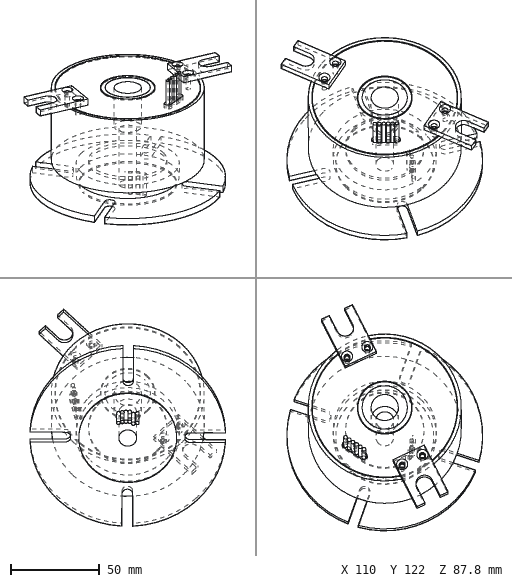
import cadquery as cq
import math

lower_wire_length = 13.2
pad_height = 0.9
flange_thickness = 4.0
collar_height = 8.4
neck_height = 1.8
body_height = 45.1
upper_wire_length = 14.4
bracket_thickness = 3.8

pad_bottom = lower_wire_length
flange_bottom = pad_bottom + pad_height
collar_bottom = flange_bottom + flange_thickness
neck_bottom = collar_bottom + collar_height
body_bottom = neck_bottom + neck_height
body_top = body_bottom + body_height
bracket_top = body_top + bracket_thickness
wire_top = body_top + upper_wire_length

pad_diameter = 55.0
flange_diameter = 110.0
collar_diameter = 58.0
neck_diameter = 44.0
body_diameter = 86.0

bore_diameter = 15.2
bore_depth = 24.4
through_diameter = 10.0
drill_angle = 118.0

joint_width = 0.2
joint_depth = 0.6
cover_diameter = 82.0
sleeve_diameter = 30.7
sleeve_recess_diameter = 25.4
sleeve_recess_depth = 0.1

flange_slot_count = 4
first_slot_angle = 45.0
flange_slot_width = 6.0
flange_slot_end_radius = 35.0

bracket_tip = 61.0
bracket_length = 30.5
bracket_width = 19.5
fork_width = 9.5
fork_depth = 15.1
screw_spacing = 12.7
screw_inset = 4.6
clearance_diameter = 3.4
countersink_diameter = 6.2
countersink_angle = 90.0
tapped_diameter = 2.6
tapped_depth = 6.1

wire_diameter = 2.1
wire_count = 6
wire_embed = 0.4
upper_row_span = 12.5
upper_row_radius = 30.3
upper_row_angle = 30.0
outlet_length = 16.1
outlet_width = 4.1
outlet_depth = 2.5
lower_wire_radius = 16.2
lower_wire_angle = 135.0
lower_wire_step = 7.6
inset_wire = 4
inset_wire_radius = 15.2


def disc(diameter, bottom, height):
    return cq.Workplane("XY").workplane(offset=bottom).circle(diameter / 2).extrude(height)


def polar_point(radius, angle):
    return (radius * math.cos(math.radians(angle)), radius * math.sin(math.radians(angle)))


def drill_tip_height(diameter):
    return diameter / 2 / math.tan(math.radians(drill_angle / 2))


def stack():
    part = disc(pad_diameter, pad_bottom, pad_height)
    part = part.union(disc(flange_diameter, flange_bottom, flange_thickness))
    part = part.union(disc(collar_diameter, collar_bottom, collar_height))
    part = part.union(disc(neck_diameter, neck_bottom, neck_height))
    return part.union(disc(body_diameter, body_bottom, body_height))


def drilled_hole(diameter, depth):
    """Blind hole with a conical end, its mouth at the top of the body on the Z axis."""
    shoulder = body_top - depth
    return (
        cq.Workplane("XZ")
        .moveTo(0, body_top)
        .lineTo(diameter / 2, body_top)
        .lineTo(diameter / 2, shoulder)
        .lineTo(0, shoulder - drill_tip_height(diameter))
        .close()
        .revolve(360, (0, 0, 0), (0, 1, 0))
    )


def joint_groove(diameter):
    bottom = body_top - joint_depth
    return disc(diameter, bottom, joint_depth).cut(
        disc(diameter - 2 * joint_width, bottom, joint_depth)
    )


def flange_slot(angle):
    """Radial slot with a round inner end, open at the flange rim."""
    slot_length = flange_diameter / 2
    return (
        cq.Workplane("XY")
        .workplane(offset=flange_bottom)
        .center(flange_slot_end_radius + slot_length / 2, 0)
        .slot2D(slot_length + flange_slot_width, flange_slot_width)
        .extrude(flange_thickness)
        .rotate((0, 0, 0), (0, 0, 1), angle)
    )


def bracket():
    """Forked plate on the +Y side, with its two countersunk screw holes."""
    screw_from_centre = bracket_length / 2 - screw_inset
    plate = (
        cq.Workplane("XY")
        .workplane(offset=body_top)
        .center(0, bracket_tip - bracket_length / 2)
        .rect(bracket_width, bracket_length)
        .extrude(bracket_thickness)
    )
    fork = (
        cq.Workplane("XY")
        .workplane(offset=body_top)
        .center(0, bracket_tip)
        .slot2D(2 * fork_depth, fork_width, 90)
        .extrude(bracket_thickness)
    )
    return (
        plate.cut(fork)
        .faces(">Z")
        .workplane(origin=(0, bracket_tip - bracket_length / 2, bracket_top))
        .pushPoints([(side * screw_spacing / 2, -screw_from_centre) for side in (-1, 1)])
        .cskHole(clearance_diameter, countersink_diameter, countersink_angle)
    )


def wires(points, bottom, top):
    return (
        cq.Workplane("XY")
        .workplane(offset=bottom)
        .pushPoints(points)
        .circle(wire_diameter / 2)
        .extrude(top - bottom)
    )


def centred_steps(pitch):
    return [(i - (wire_count - 1) / 2) * pitch for i in range(wire_count)]


def upper_wires():
    """Straight row of wires standing tangentially in the outlet."""
    floor = body_top - outlet_depth
    points = [(upper_row_radius, step) for step in centred_steps(upper_row_span / (wire_count - 1))]
    row = wires(points, floor - wire_embed, wire_top)
    return row.rotate((0, 0, 0), (0, 0, 1), upper_row_angle)


def wire_outlet():
    return (
        cq.Workplane("XY")
        .workplane(offset=body_top - outlet_depth)
        .center(upper_row_radius, 0)
        .slot2D(outlet_length, outlet_width, 90)
        .extrude(outlet_depth)
        .rotate((0, 0, 0), (0, 0, 1), upper_row_angle)
    )


def lower_wires():
    """Wires along an arc about the axis, one of them set slightly inward."""
    points = []
    for i, step in enumerate(centred_steps(lower_wire_step)):
        radius = inset_wire_radius if i == inset_wire else lower_wire_radius
        points.append(polar_point(radius, lower_wire_angle + step))
    return wires(points, 0, pad_bottom + wire_embed)


result = stack()
result = result.cut(drilled_hole(bore_diameter, bore_depth))
result = result.cut(disc(through_diameter, pad_bottom, body_top - pad_bottom))

result = result.cut(joint_groove(cover_diameter))
result = result.cut(joint_groove(sleeve_diameter))
result = result.cut(
    disc(sleeve_recess_diameter, body_top - sleeve_recess_depth, sleeve_recess_depth)
)

for i in range(flange_slot_count):
    result = result.cut(flange_slot(first_slot_angle + i * 360 / flange_slot_count))

screw_y = bracket_tip - bracket_length + screw_inset
tapped_hole = drilled_hole(tapped_diameter, tapped_depth)
for turn in (0, 180):
    result = result.union(bracket().rotate((0, 0, 0), (0, 0, 1), turn))
for x in (-screw_spacing / 2, screw_spacing / 2):
    for y in (-screw_y, screw_y):
        result = result.cut(tapped_hole.translate((x, y, 0)))

result = result.cut(wire_outlet())
result = result.union(upper_wires())
result = result.union(lower_wires())